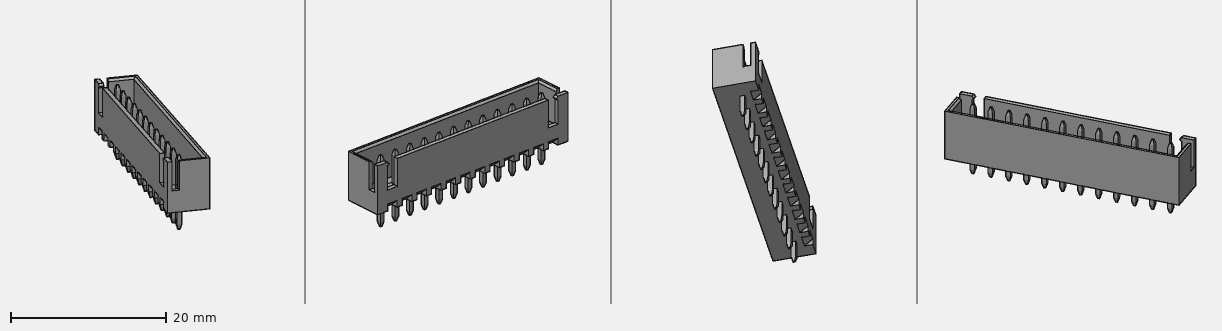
import cadquery as cq

PIN_COUNT = 12
PITCH = 2.5
LENGTH = 32.6
DEPTH = 5.7
HEIGHT = 7.0
PIN_ROW_FROM_FRONT = 2.3
FRONT_Y = -PIN_ROW_FROM_FRONT
BACK_Y = FRONT_Y + DEPTH

FRONT_WALL = 0.65
BACK_WALL = 0.65
END_WALL = 0.65
FLOOR_Z = 2.0
REAR_FLOOR_Z = 1.4
REAR_FLOOR_FROM_PINS = 0.6
LEAD_IN = 0.3

SLOT_BOTTOM_Z = 3.0
FRONT_SLOT_WIDTH = 1.7
SLOT_NUB = 0.3
END_SLOT_WIDTH = 1.0

RELIEF_WIDTH = 1.6
RELIEF_HEIGHT = 1.0
RELIEF_DEPTH = 1.1

PIN_SIZE = 0.64
PIN_BOTTOM_Z = -3.3
PIN_TOP_Z = 6.9
PIN_TAPER = 0.7
PIN_TIP_SIZE = 0.25

ROW_HALF = (PIN_COUNT - 1) * PITCH / 2
PIN_XS = [i * PITCH - ROW_HALF for i in range(PIN_COUNT)]


def box(x0, x1, y0, y1, z0, z1):
    """Axis-aligned block between two opposite corners."""
    return cq.Workplane("XY").box(x1 - x0, y1 - y0, z1 - z0, centered=False).translate((x0, y0, z0))


def cavity():
    """Plug cavity with a lower floor behind the pins, flared at the rim along the back and end walls."""
    half = LENGTH / 2 - END_WALL
    front = FRONT_Y + FRONT_WALL
    back = BACK_Y - BACK_WALL
    pocket = box(-half, half, front, back, FLOOR_Z, HEIGHT)
    rear_pocket = box(-half, half, REAR_FLOOR_FROM_PINS, back, REAR_FLOOR_Z, FLOOR_Z)
    rim_outline = [
        (-half, HEIGHT - LEAD_IN),
        (half, HEIGHT - LEAD_IN),
        (half + LEAD_IN, HEIGHT),
        (-half - LEAD_IN, HEIGHT),
    ]
    end_flare = cq.Workplane("XZ", origin=(0, back + LEAD_IN, 0)).polyline(rim_outline).close()
    end_flare = end_flare.extrude(back + LEAD_IN - front)
    back_outline = [
        (front, HEIGHT - LEAD_IN),
        (back, HEIGHT - LEAD_IN),
        (back + LEAD_IN, HEIGHT),
        (front, HEIGHT),
    ]
    back_limit = cq.Workplane("YZ", origin=(-LENGTH / 2, 0, 0)).polyline(back_outline).close().extrude(LENGTH)
    return pocket.union(rear_pocket).union(end_flare.intersect(back_limit))


def front_slot():
    """Slot in the front wall at the first pin, narrowed by a pointed nub at its outer top corner."""
    left = PIN_XS[0] - FRONT_SLOT_WIDTH / 2
    right = PIN_XS[0] + FRONT_SLOT_WIDTH / 2
    outline = [
        (left, SLOT_BOTTOM_Z),
        (right, SLOT_BOTTOM_Z),
        (right, HEIGHT),
        (left, HEIGHT),
        (left + SLOT_NUB, HEIGHT - SLOT_NUB),
        (left, HEIGHT - 2 * SLOT_NUB),
    ]
    return cq.Workplane("XZ", origin=(0, FRONT_Y + FRONT_WALL, 0)).polyline(outline).close().extrude(FRONT_WALL)


def end_slots():
    """Slots through both end walls, directly behind the front wall."""
    y0 = FRONT_Y + FRONT_WALL
    return box(-LENGTH / 2, LENGTH / 2, y0, y0 + END_SLOT_WIDTH, SLOT_BOTTOM_Z, HEIGHT)


def relief(x):
    """Wedge under the front edge, sloping from the front wall down to the underside."""
    outline = [
        (FRONT_Y, 0),
        (FRONT_Y + RELIEF_DEPTH, 0),
        (FRONT_Y, RELIEF_HEIGHT),
    ]
    wedge = cq.Workplane("YZ", origin=(x - RELIEF_WIDTH / 2, 0, 0)).polyline(outline).close()
    return wedge.extrude(RELIEF_WIDTH)


def pin_end(x, shoulder_z, length):
    """Tapered pin end growing from the shoulder by a signed length."""
    taper = cq.Workplane("XY", origin=(x, 0, shoulder_z)).rect(PIN_SIZE, PIN_SIZE)
    return taper.workplane(offset=length).rect(PIN_TIP_SIZE, PIN_TIP_SIZE).loft()


def pin(x):
    """Square pin running through the housing floor, tapered at both ends."""
    half = PIN_SIZE / 2
    low = PIN_BOTTOM_Z + PIN_TAPER
    high = PIN_TOP_Z - PIN_TAPER
    shank = box(x - half, x + half, -half, half, low, high)
    return shank.union(pin_end(x, low, -PIN_TAPER)).union(pin_end(x, high, PIN_TAPER))


housing = box(-LENGTH / 2, LENGTH / 2, FRONT_Y, BACK_Y, 0, HEIGHT)
housing = housing.cut(cavity()).cut(end_slots())
housing = housing.cut(front_slot()).cut(front_slot().mirror("YZ"))
for pin_x in PIN_XS:
    housing = housing.cut(relief(pin_x))
for pin_x in PIN_XS:
    housing = housing.union(pin(pin_x))

result = housing